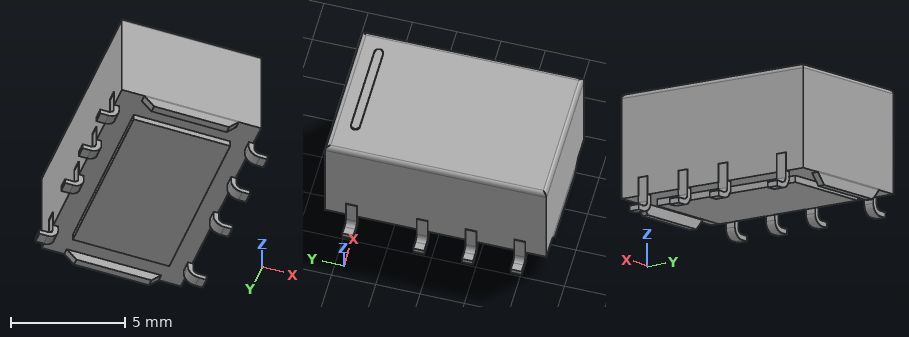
import cadquery as cq

body_width = 6.5
body_length = 10.0
body_bottom = 0.8
body_top = 5.5
top_round = 0.2

bar_length = 4.4
bar_width = 0.4
bar_height = 0.08
bar_x = 0.2
bar_y = 4.0

base_width = 4.5
base_length = 7.6
base_bottom = 0.5

tab_root_width = base_width
tab_tip_width = 3.5
tab_thickness = 0.32
tab_tip_z = 0.3
tab_overlap = 0.05

pin_y_positions = (3.8, 0.6, -1.6, -3.8)
pin_width = 0.5
pin_thickness = 0.25
pin_bend_radius = 0.25
pin_top = 1.62
pin_face_gap = 0.03
pin_span = 7.8


def make_body():
    block = (
        cq.Workplane("XY", origin=(0, 0, body_bottom))
        .rect(body_width, body_length)
        .extrude(body_top - body_bottom)
    )
    return block.faces(">Z").edges().fillet(top_round)


def make_marking_bar():
    return (
        cq.Workplane("XY", origin=(bar_x, bar_y, body_top))
        .slot2D(bar_length, bar_width)
        .extrude(bar_height)
    )


def make_base():
    return (
        cq.Workplane("XY", origin=(0, 0, base_bottom))
        .rect(base_width, base_length)
        .extrude(body_bottom - base_bottom)
    )


def make_tab(outer_y):
    """Trapezoid tab from outer_y toward +Y, reaching slightly into the housing."""
    root_z = body_bottom + tab_overlap
    return (
        cq.Workplane("XZ", origin=(0, outer_y, 0))
        .moveTo(-tab_root_width / 2, root_z)
        .lineTo(-tab_tip_width / 2, tab_tip_z)
        .lineTo(tab_tip_width / 2, tab_tip_z)
        .lineTo(tab_root_width / 2, root_z)
        .close()
        .extrude(-tab_thickness)
    )


def make_pin(y):
    """Terminal on the +X side: a vertical leg bent outward into a flat foot."""
    outer_face = body_width / 2 + pin_face_gap
    inner_face = outer_face - pin_thickness
    toe = pin_span / 2
    outer_bend_radius = pin_bend_radius + pin_thickness
    bend_x = outer_face + pin_bend_radius
    return (
        cq.Workplane("XZ", origin=(0, y + pin_width / 2, 0))
        .moveTo(inner_face, pin_top)
        .lineTo(inner_face, outer_bend_radius)
        .radiusArc((bend_x, 0), -outer_bend_radius)
        .lineTo(toe, 0)
        .lineTo(toe, pin_thickness)
        .lineTo(bend_x, pin_thickness)
        .radiusArc((outer_face, outer_bend_radius), pin_bend_radius)
        .lineTo(outer_face, pin_top)
        .close()
        .extrude(pin_width)
    )


result = make_body().union(make_marking_bar()).union(make_base())

for pin_y in pin_y_positions:
    pin = make_pin(pin_y)
    result = result.union(pin).union(pin.mirror("YZ"))

for tab_y in (-body_length / 2, body_length / 2 - tab_thickness):
    result = result.union(make_tab(tab_y), clean=False)